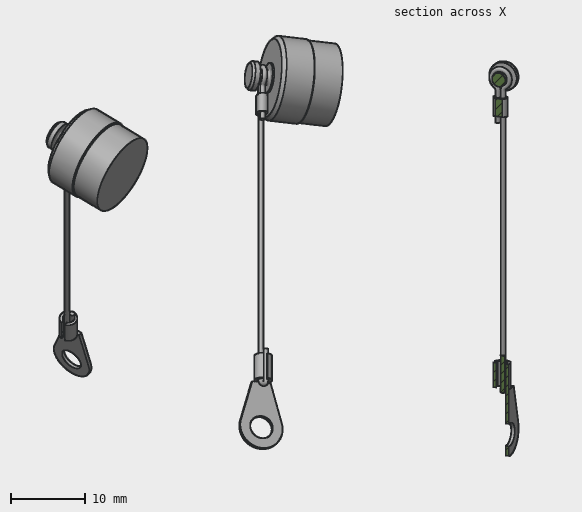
import cadquery as cq
import math


overall_height = 58.75

cap_diameter = 11.5
cap_rim_diameter = 11.2
cap_length = 8.5
cap_shoulder_x = 4.6
face_chamfer_length = 0.5
face_chamfer_depth = 0.45
shoulder_chamfer = (cap_diameter - cap_rim_diameter) / 2

knob_diameter = 4.0
neck_diameter = 2.0
knob_flange_thickness = 0.25
knob_head_x = -1.95
knob_end_x = -3.0
knob_chamfer_length = 0.35
knob_chamfer_depth = 0.3
neck_fillet = 0.25

cable_diameter = 0.7
cable_x = -1.1
strand_pitch = 0.75
strand_y = strand_pitch / 2
loop_radius = 1.3
loop_start_z = -1.7
upper_tail_z = -6.2
lower_tail_z = -38.9
lower_turn_tilt_degrees = 15

ferrule_length_y = 2.05
ferrule_width_x = 1.35
ferrule_top_z = -2.65
ferrule_height = 2.6

lug_diameter = 6.0
lug_hole_diameter = 3.2
lug_thickness = 0.5
lug_neck_width = 2.6
lug_x = -0.8
lug_z = lug_diameter / 2 + cap_diameter / 2 - overall_height
barrel_diameter = 2.4
barrel_bore = 1.5
barrel_slit = 0.5
barrel_y = 0.325
barrel_top_z = -40.0
barrel_bottom_z = -43.55
lug_back_y = barrel_y + barrel_diameter / 2


def make_cap():
    """Solid of revolution about X for the cap body."""
    radius = cap_diameter / 2
    profile = (
        cq.Workplane("XY")
        .moveTo(0, 0)
        .lineTo(0, radius - face_chamfer_depth)
        .lineTo(face_chamfer_length, radius)
        .lineTo(cap_shoulder_x - shoulder_chamfer, radius)
        .lineTo(cap_shoulder_x, cap_rim_diameter / 2)
        .lineTo(cap_length, cap_rim_diameter / 2)
        .lineTo(cap_length, 0)
        .close()
    )
    return profile.revolve(360, (0, 0, 0), (1, 0, 0))


def make_knob():
    """Flange, filleted neck and chamfered head, turned about X."""
    radius = knob_diameter / 2
    neck_radius = neck_diameter / 2
    profile = (
        cq.Workplane("XY")
        .moveTo(0, 0)
        .lineTo(0, radius)
        .lineTo(-knob_flange_thickness, radius)
        .lineTo(-knob_flange_thickness, neck_radius + neck_fillet)
        .radiusArc((-knob_flange_thickness - neck_fillet, neck_radius), neck_fillet)
        .lineTo(knob_head_x + neck_fillet, neck_radius)
        .radiusArc((knob_head_x, neck_radius + neck_fillet), neck_fillet)
        .lineTo(knob_head_x, radius)
        .lineTo(knob_end_x + knob_chamfer_length, radius)
        .lineTo(knob_end_x, radius - knob_chamfer_depth)
        .lineTo(knob_end_x, 0)
        .close()
    )
    return profile.revolve(360, (0, 0, 0), (1, 0, 0))


def make_upper_cable():
    """Short tail, loop round the neck and the long strand, in one plane."""
    flare_radius = (strand_y**2 + loop_start_z**2 - loop_radius**2) / (2 * (loop_radius - strand_y))
    flare_center_y = strand_y + flare_radius
    join_scale = loop_radius / (loop_radius + flare_radius)
    join_y = flare_center_y * join_scale
    join_z = loop_start_z * join_scale
    half_turn = math.atan2(-loop_start_z, flare_center_y) / 2
    flare_mid_y = flare_center_y - flare_radius * math.cos(half_turn)
    flare_mid_z = loop_start_z + flare_radius * math.sin(half_turn)
    path = (
        cq.Workplane("YZ", origin=(cable_x, 0, 0))
        .moveTo(-strand_y, upper_tail_z)
        .lineTo(-strand_y, loop_start_z)
        .threePointArc((-flare_mid_y, flare_mid_z), (-join_y, join_z))
        .threePointArc((0, loop_radius), (join_y, join_z))
        .threePointArc((flare_mid_y, flare_mid_z), (strand_y, loop_start_z))
        .lineTo(strand_y, barrel_bottom_z)
    )
    section = cq.Workplane("XY", origin=(cable_x, -strand_y, upper_tail_z)).circle(cable_diameter / 2)
    return section.sweep(path)


def make_lower_cable():
    """U-turn below the crimp barrel and the short tail that comes back up."""
    bend_radius = strand_pitch / 2
    path = (
        cq.Workplane("XZ")
        .moveTo(0, barrel_bottom_z)
        .threePointArc((bend_radius, barrel_bottom_z - bend_radius), (strand_pitch, barrel_bottom_z))
        .lineTo(strand_pitch, lower_tail_z)
    )
    section = cq.Workplane("XY", origin=(0, 0, barrel_bottom_z)).circle(cable_diameter / 2)
    turn = section.sweep(path)
    return turn.rotate((0, 0, 0), (0, 0, 1), lower_turn_tilt_degrees).translate((cable_x, strand_y, 0))


def make_ferrule():
    """Oblong ferrule around both strands."""
    return (
        cq.Workplane("XY", origin=(cable_x, 0, ferrule_top_z))
        .slot2D(ferrule_length_y, ferrule_width_x, 90)
        .extrude(-ferrule_height)
    )


def make_barrel():
    """Crimp barrel with a slit along its -Y side."""
    height = barrel_top_z - barrel_bottom_z
    barrel = (
        cq.Workplane("XY", origin=(lug_x, barrel_y, barrel_bottom_z))
        .circle(barrel_diameter / 2)
        .circle(barrel_bore / 2)
        .extrude(height)
    )
    slit = (
        cq.Workplane("XY", origin=(lug_x, barrel_y, barrel_bottom_z))
        .rect(barrel_slit, barrel_diameter)
        .extrude(height)
        .translate((0, -barrel_diameter / 2, 0))
    )
    return barrel.cut(slit)


def make_lug():
    """Flat ring whose sides run tangent to the eye and up to the barrel."""
    radius = lug_diameter / 2
    neck_x = lug_neck_width / 2
    neck_z = barrel_bottom_z - lug_z
    neck_distance = math.hypot(neck_x, neck_z)
    tangent_angle = math.atan2(neck_z, neck_x) - math.acos(radius / neck_distance)
    tangent_x = radius * math.cos(tangent_angle)
    tangent_z = radius * math.sin(tangent_angle)
    return (
        cq.Workplane("XZ", origin=(lug_x, lug_back_y, lug_z))
        .moveTo(-neck_x, neck_z)
        .lineTo(neck_x, neck_z)
        .lineTo(tangent_x, tangent_z)
        .threePointArc((0, -radius), (-tangent_x, tangent_z))
        .close()
        .moveTo(0, 0)
        .circle(lug_hole_diameter / 2)
        .extrude(lug_thickness)
    )


result = (
    make_cap()
    .union(make_knob())
    .union(make_upper_cable())
    .union(make_lower_cable())
    .union(make_ferrule())
    .union(make_barrel())
    .union(make_lug())
)